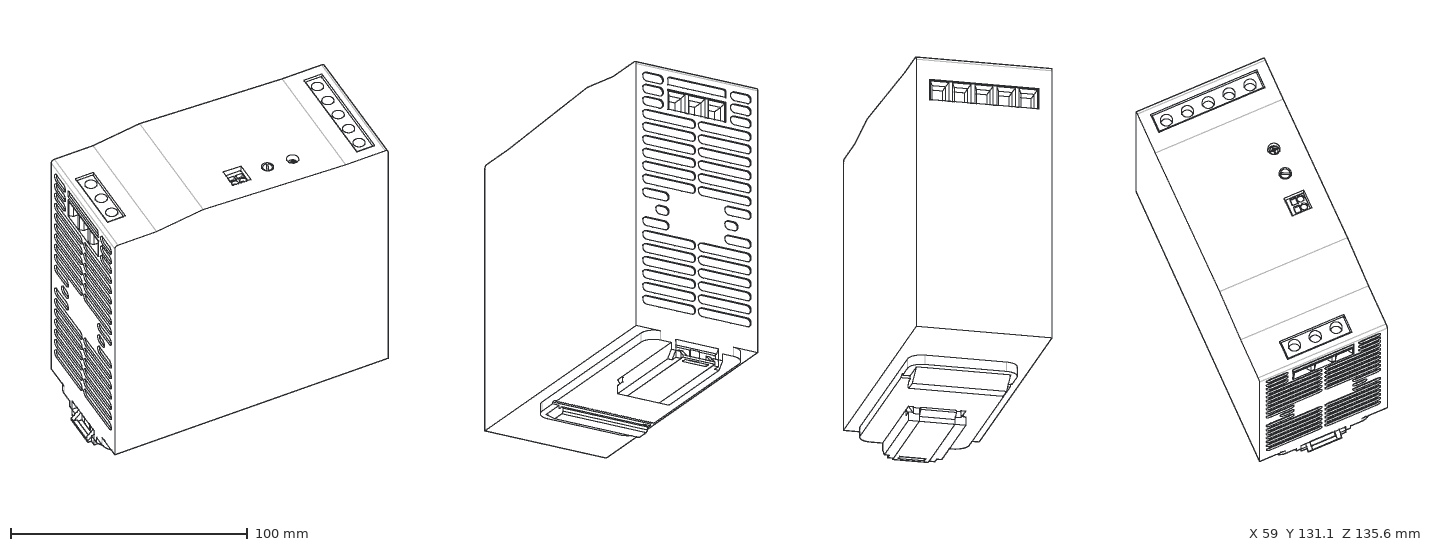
import cadquery as cq


width = 59.0
depth = 129.5
shoulder_height = 121.7
ridge_height = 125.0
front_slope_y = 19.8
ridge_y = 41.9
rear_slope_y = 109.4
edge_radius = 1.5

vent_depth = 0.8
vent_height = 4.0
vent_outer_x = 26.3
vent_pitch = 6.0
vent_rows = 6
long_vent_inner_x = 0.7
upper_vent_top_z = 98.2
lower_vent_top_z = 42.7
short_vent_inner_x = 16.3
short_vent_heights = (115.3, 109.8, 104.2)
middle_vent_inner_x = 13.5
middle_vent_z = 55.5
middle_vent_spacing = 6.6
stub_vent_outer_x = 19.9
label_width = 28.2
label_bottom_z = 113.8
label_height = 3.7
label_corner = 1.1

front_poles = 3
rear_poles = 5
pole_pitch = 9.6
side_gap = 0.5
end_margin = 0.8
recess_depth_y = 8.5
recess_setback = 3.9
block_recess = 0.8
nose_recess = 0.4
block_bottom_z = 102.6
window_top_z = 111.7
window_margin = 0.7
screw_hole_radius = 2.6
screw_hole_depth = 6.8
screw_hole_setback = 8.7
wire_entry_width = 8.0
wire_entry_back_width = 5.8
wire_entry_top_z = 111.1
wire_entry_back_top_z = 109.6
wire_entry_taper = 1.5
wire_entry_depth = 6.8

fitting_x = 17.0
fitting_hole_radius = 2.6
fitting_floor_z = 118.6
indicator_y = 90.7
indicator_top_z = 121.1
indicator_radius = 1.8
indicator_cone_height = 0.7
indicator_tip_radius = 0.8
indicator_groove = 0.3
trimmer_y = 78.7
trimmer_radius = 2.0
trimmer_top_z = 122.9
trimmer_slot_width = 0.7
slot_depth = 0.5
trimmer_slot_angle = -25
connector_x = 16.5
connector_y = 64.5
connector_width = 9.1
connector_length = 8.5
connector_floor_z = 117.9
connector_top_z = 121.8
connector_pole_pitch = 3.8
connector_hole_x = 2.0
connector_hole_radius = 1.5
connector_hole_depth = 2.0
connector_slot_x = -1.0
connector_slot_size = (2.6, 3.0)

foot_width = 47.4
foot_rear_y = 96.6
foot_height = 4.2
foot_radius = 6.1
hook_width = 40.9
rail_bottom_z = -10.6
guide_width = 25.0
guide_rear_y = 46.0
tongue_width = 15.5
channel_width = 20.6
lip_top_z = -7.3
guide_bevel = (3.1, 3.3)
lintel_top_z = -2.3
lintel_depth = 1.4
undercut_length = 4.3
undercut_height = 2.6
undercut_depth = 1.9

latch_top_z = -4.6
latch_nose_y = -1.6
latch_nose_top_z = -9.5
latch_rear_y = 48.8
catch_top_z = -5.3
catch_edge_z = -6.2
catch_root_z = -8.4
arm_rear_y = 2.5
arm_rear_z = -5.7
finger_hole_width = 11.4
finger_hole_front_y = 0.1
boss_width = 4.3
boss_depth = 0.5


def box(x0, x1, y0, y1, z0, z1):
    return cq.Workplane("XY").box(x1 - x0, y1 - y0, z1 - z0, centered=False).translate((x0, y0, z0))


def side_profile(points, profile_width):
    """Extrudes a (Y, Z) outline symmetrically about X = 0."""
    return cq.Workplane("YZ").polyline(points).close().extrude(profile_width / 2, both=True)


def post(x, y, z0, z1, radius):
    return cq.Workplane("XY").circle(radius).extrude(z1 - z0).translate((x, y, z0))


def vent(x0, x1, z):
    """Recess with round ends in the front face."""
    return (
        cq.Workplane("XZ")
        .center((x0 + x1) / 2, z)
        .slot2D(x1 - x0, vent_height)
        .extrude(-vent_depth)
    )


def mirrored_vents(x_inner, x_outer, z):
    return [vent(x_inner, x_outer, z), vent(-x_outer, -x_inner, z)]


def all_vents():
    vents = []
    for z in short_vent_heights:
        vents += mirrored_vents(short_vent_inner_x, vent_outer_x, z)
    for top_z in (upper_vent_top_z, lower_vent_top_z):
        for row in range(vent_rows):
            vents += mirrored_vents(long_vent_inner_x, vent_outer_x, top_z - row * vent_pitch)
    for side in (1, -1):
        z = middle_vent_z + side * middle_vent_spacing
        vents += mirrored_vents(middle_vent_inner_x, vent_outer_x, z)
    vents += mirrored_vents(middle_vent_inner_x, stub_vent_outer_x, middle_vent_z)
    return vents


def label_recess():
    recess = box(-label_width / 2, label_width / 2, 0, vent_depth,
                 label_bottom_z, label_bottom_z + label_height)
    return recess.edges("|Y and >Z").fillet(label_corner)


def terminal_volume(poles, gap, front_y, top_z):
    """Upright block plus the wire nose reaching forward; `gap` shrinks all but the floor."""
    half = (poles * pole_pitch + end_margin) / 2 - gap
    nose_half = (poles * pole_pitch - window_margin) / 2 - gap / 2
    upright = box(-half, half, recess_setback + gap, recess_setback + recess_depth_y - gap,
                  block_bottom_z, top_z)
    nose = box(-nose_half, nose_half, front_y, recess_setback + gap,
               block_bottom_z, window_top_z - gap / 2)
    return upright.union(nose)


def wire_entry(x):
    """Funnel narrowing at the sides and top, then a straight passage, on a level floor."""
    def rectangle(entry_width, top_z):
        half = entry_width / 2
        return [(x - half, block_bottom_z), (x + half, block_bottom_z), (x + half, top_z), (x - half, top_z)]

    back = rectangle(wire_entry_back_width, wire_entry_back_top_z)
    funnel = (
        cq.Workplane("XZ", origin=(0, nose_recess, 0))
        .polyline(rectangle(wire_entry_width, wire_entry_top_z)).close()
        .workplane(offset=-wire_entry_taper)
        .polyline(back).close()
        .loft(ruled=True)
    )
    passage = (
        cq.Workplane("XZ", origin=(0, nose_recess, 0))
        .polyline(back).close().extrude(-wire_entry_depth)
    )
    return funnel.union(passage)


def to_rear(body):
    """Turns a front terminal feature round to the rear face."""
    return body.rotate((0, depth / 2, 0), (0, depth / 2, 1), 180)


def make_terminal_block(poles):
    top_z = shoulder_height - block_recess
    block = terminal_volume(poles, side_gap, nose_recess, top_z)
    for pole in range(poles):
        x = (pole - (poles - 1) / 2) * pole_pitch
        block = block.cut(post(x, screw_hole_setback, top_z - screw_hole_depth, top_z, screw_hole_radius))
        block = block.cut(wire_entry(x))
    return block


def make_foot():
    foot = box(-foot_width / 2, foot_width / 2, 0, foot_rear_y, -foot_height, 0)
    foot = foot.edges("|Z").fillet(foot_radius)
    hook = side_profile(
        [(93.0, -foot_height), (85.5, -9.0), (79.4, -9.0), (78.3, -8.1), (78.3, -6.8),
         (79.4, -5.7), (81.7, -5.7), (81.7, -foot_height)],
        hook_width,
    )
    notch = side_profile([(81.7, -5.7), (81.7, -3.4), (79.7, -3.4), (78.6, -4.3), (78.6, -5.7)], foot_width)
    return foot.union(hook).cut(notch)


def make_guides():
    """Pair of guide walls with inward lips for the latch."""
    bevel_y, bevel_z = guide_bevel
    guides = side_profile(
        [(0, -foot_height), (0, rail_bottom_z + bevel_z), (bevel_y, rail_bottom_z),
         (guide_rear_y, rail_bottom_z), (guide_rear_y, -foot_height)],
        guide_width,
    )
    lips = box(-channel_width / 2, channel_width / 2, 0, guide_rear_y, rail_bottom_z, lip_top_z)
    guides = guides.union(lips)
    for side in (1, -1):
        face = side * guide_width / 2
        undercut = (
            cq.Workplane("XZ", origin=(0, guide_rear_y - undercut_length, 0))
            .polyline([(face, -foot_height), (face, -foot_height - undercut_height),
                       (face - side * undercut_depth, -foot_height - undercut_height)])
            .close().extrude(-undercut_length)
        )
        guides = guides.cut(undercut)
    return guides


def latch_channel():
    upper = side_profile(
        [(0, lintel_top_z), (0, lip_top_z), (guide_rear_y, lip_top_z),
         (guide_rear_y, -foot_height), (lintel_depth, -foot_height)],
        channel_width,
    )
    lower = box(-tongue_width / 2, tongue_width / 2, 0, guide_rear_y, rail_bottom_z, lip_top_z)
    return upper.union(lower)


def connector_pocket():
    return box(connector_x - connector_width / 2, connector_x + connector_width / 2,
               connector_y - connector_length / 2, connector_y + connector_length / 2,
               connector_floor_z, ridge_height)


def make_housing():
    shell = side_profile(
        [(0, 0), (0, shoulder_height), (front_slope_y, shoulder_height), (ridge_y, ridge_height),
         (rear_slope_y, shoulder_height), (depth, shoulder_height), (depth, 0)],
        width,
    )
    for corner_y in (0, depth):
        corner = cq.selectors.BoxSelector(
            (-width, corner_y - edge_radius, shoulder_height - edge_radius),
            (width, corner_y + edge_radius, ridge_height),
        )
        shell = shell.edges(corner).fillet(edge_radius)

    housing = shell.union(make_foot()).union(make_guides()).cut(latch_channel())
    for recess in all_vents():
        housing = housing.cut(recess)
    housing = housing.cut(label_recess())
    housing = housing.cut(terminal_volume(front_poles, 0, 0, shoulder_height))
    housing = housing.cut(to_rear(terminal_volume(rear_poles, 0, 0, shoulder_height)))
    for y in (indicator_y, trimmer_y):
        housing = housing.cut(post(fitting_x, y, fitting_floor_z, ridge_height, fitting_hole_radius))
    return housing.cut(connector_pocket())


def slot_across(y, top_z, radius, slot_width, angle):
    """Straight slot across the top of a round roof fitting."""
    slot = cq.Workplane("XY").box(2 * radius, slot_width, 2 * slot_depth)
    return slot.rotate((0, 0, 0), (0, 0, 1), angle).translate((fitting_x, y, top_z))


def make_indicator():
    """Post with a blunt conical tip and crossed grooves."""
    body = post(fitting_x, indicator_y, fitting_floor_z, indicator_top_z, indicator_radius)
    body = body.faces(">Z").chamfer(indicator_cone_height, indicator_radius - indicator_tip_radius)
    for angle in (0, 90):
        body = body.cut(slot_across(indicator_y, indicator_top_z, indicator_radius, indicator_groove, angle))
    return body


def make_trimmer():
    body = post(fitting_x, trimmer_y, fitting_floor_z, trimmer_top_z, trimmer_radius)
    slot = slot_across(trimmer_y, trimmer_top_z, trimmer_radius, trimmer_slot_width, trimmer_slot_angle)
    return body.cut(slot)


def make_connector():
    half_x = connector_width / 2 - side_gap
    half_y = connector_length / 2 - side_gap
    body = box(connector_x - half_x, connector_x + half_x, connector_y - half_y, connector_y + half_y,
               connector_floor_z, connector_top_z)
    floor_z = connector_top_z - connector_hole_depth
    slot_x, slot_y = connector_slot_size
    for side in (1, -1):
        y = connector_y + side * connector_pole_pitch / 2
        hole = post(connector_x + connector_hole_x, y, floor_z, connector_top_z, connector_hole_radius)
        x = connector_x + connector_slot_x
        opening = box(x - slot_x / 2, x + slot_x / 2, y - slot_y / 2, y + slot_y / 2, floor_z, connector_top_z)
        body = body.cut(hole).cut(opening)
    return body


def make_latch():
    tongue = side_profile(
        [(latch_nose_y, rail_bottom_z), (latch_nose_y, latch_nose_top_z), (arm_rear_y, arm_rear_z),
         (arm_rear_y, latch_top_z), (guide_rear_y, latch_top_z), (guide_rear_y, catch_top_z),
         (latch_rear_y, catch_top_z), (latch_rear_y, catch_edge_z), (guide_rear_y, catch_root_z),
         (guide_rear_y, rail_bottom_z)],
        tongue_width,
    )
    shoulders = box(-channel_width / 2, channel_width / 2, arm_rear_y, guide_rear_y, lip_top_z, latch_top_z)
    half = finger_hole_width / 2
    finger_hole = box(-half, half, finger_hole_front_y, arm_rear_y, rail_bottom_z, 0)
    crossbar_step = box(-half, half, latch_nose_y, arm_rear_y, latch_nose_top_z, 0)
    boss = box(-boss_width / 2, boss_width / 2, arm_rear_y - boss_depth, arm_rear_y,
               latch_nose_top_z, latch_top_z)
    return tongue.union(shoulders).cut(finger_hole).cut(crossbar_step).union(boss)


housing = make_housing()
front_terminals = make_terminal_block(front_poles)
rear_terminals = to_rear(make_terminal_block(rear_poles))
indicator = make_indicator()
trimmer = make_trimmer()
connector = make_connector()
latch = make_latch()

result = cq.Compound.makeCompound([
    housing.val(),
    front_terminals.val(),
    rear_terminals.val(),
    indicator.val(),
    trimmer.val(),
    connector.val(),
    latch.val(),
])